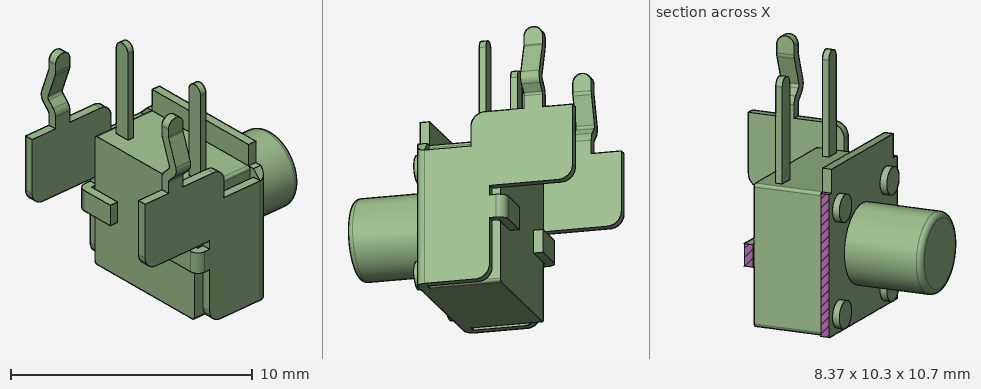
import cadquery as cq
import math


sheet = 0.41
bracket_half_width = 3.7
flange_inner_x = bracket_half_width - sheet
corner_radius = 0.6

housing_size = 6.17
housing_front_y = -3.5
housing_edge_radius = 0.14

bracket_top_z = 7.2
tongue_half_width = 2.99

flange_shoulder_z = housing_size - sheet
flange_shoulder_y = -2.41
flange_lower_front_y = -3.21
wing_front_y = -6.8
wing_bottom_z = 3.99

tab_bottom_z = 2.6
tab_top_z = 3.58
tab_end_x = 1.68

lead_top_z = 10.7
leg_width = 0.8
leg_y = -5.1
leg_lower_bend_z = 7.81
leg_upper_bend_z = 9.91
leg_lower_angle = 45.0
leg_crest_x = 4.26
bend_hollow_radius = 0.16
bend_round_radius = 0.48

pin_x = 2.25
pin_width = 0.73
pin_thickness = 0.3
pin_y = -2.59
pin_root_depth = 0.41

button_radius = 1.74
button_length = 3.54
button_z = 3.24
button_edge_radius = 0.25
stud_radius = 0.6
stud_height = 0.31
stud_offset = 2.29


def box(x_range, y_range, z_range):
    """Box spanning the given (low, high) ranges."""
    spans = (x_range, y_range, z_range)
    size = [high - low for low, high in spans]
    return cq.Workplane("XY").box(*size, centered=False).translate(tuple(low for low, _ in spans))


def cylinder_along_y(x, z, radius, y_start, y_end):
    """Cylinder from y_start to y_end."""
    start_plane = cq.Plane(origin=(x, y_start, z), xDir=(1, 0, 0), normal=(0, 1, 0))
    return cq.Workplane(start_plane).circle(radius).extrude(y_end - y_start)


def make_housing():
    block = box((-housing_size / 2, housing_size / 2), (housing_front_y, -sheet), (0, housing_size))
    return block.edges("|Y").fillet(housing_edge_radius)


def make_button():
    button = cylinder_along_y(0, button_z, button_radius, -sheet, button_length)
    return button.faces(">Y").edges().fillet(button_edge_radius)


def make_pin(x):
    """Flat pin with a round tip, starting inside the housing."""
    tip_radius = pin_width / 2
    root_z = housing_size - pin_root_depth
    return (
        cq.Workplane("XZ", origin=(x, pin_y + pin_thickness / 2, 0))
        .moveTo(-tip_radius, root_z)
        .lineTo(tip_radius, root_z)
        .lineTo(tip_radius, lead_top_z - tip_radius)
        .threePointArc((0, lead_top_z), (-tip_radius, lead_top_z - tip_radius))
        .close()
        .extrude(pin_thickness)
    )


def make_web():
    """Back plate whose tongue stands above the housing."""
    plate = box((-flange_inner_x, flange_inner_x), (-sheet, 0), (0, housing_size))
    tongue = box((-tongue_half_width, tongue_half_width), (-sheet, 0), (0, bracket_top_z))
    return plate.union(tongue)


def make_bend(y, outward, z_low, z_high):
    """Quarter-round fold about the flange's inner face; outward is the Y direction it bulges to."""
    diagonal = sheet * math.sqrt(0.5)
    return (
        cq.Workplane("XY", origin=(flange_inner_x, y, z_low))
        .lineTo(sheet, 0)
        .threePointArc((diagonal, outward * diagonal), (0, outward * sheet))
        .close()
        .extrude(z_high - z_low)
    )


def make_web_bend():
    """Fold between web and flange, its top bevelled down to the flange shoulder."""
    bend = make_bend(-sheet, 1, 0, housing_size)
    bevel = (
        cq.Workplane("XZ")
        .moveTo(flange_inner_x, housing_size)
        .lineTo(bracket_half_width, flange_shoulder_z)
        .lineTo(bracket_half_width, housing_size)
        .close()
        .extrude(sheet)
    )
    return bend.cut(bevel)


def make_flange():
    """Side plate with a wing that reaches forward and up."""
    outline = [
        (-sheet, 0),
        (flange_lower_front_y, 0),
        (flange_lower_front_y, wing_bottom_z),
        (wing_front_y, wing_bottom_z),
        (wing_front_y, bracket_top_z),
        (flange_shoulder_y, bracket_top_z),
        (flange_shoulder_y, flange_shoulder_z),
        (-sheet, flange_shoulder_z),
    ]
    rounded_corners = [
        (flange_lower_front_y, 0),
        (wing_front_y, wing_bottom_z),
        (flange_shoulder_y, bracket_top_z),
    ]
    flange = cq.Workplane("YZ", origin=(flange_inner_x, 0, 0)).polyline(outline).close().extrude(sheet)
    for y, z in rounded_corners:
        corner = cq.selectors.NearestToPointSelector((flange_inner_x + sheet / 2, y, z))
        flange = flange.edges("|X").edges(corner).fillet(corner_radius)
    return flange


def make_clamp_tab():
    """Tab that leaves the flange and folds over the front of the housing."""
    height = (tab_bottom_z, tab_top_z)
    root = box((flange_inner_x, bracket_half_width), (housing_front_y, flange_lower_front_y), height)
    finger = box((tab_end_x, flange_inner_x), (housing_front_y - sheet, housing_front_y), height)
    return root.union(make_bend(housing_front_y, -1, *height)).union(finger)


def make_snap_leg():
    """Strip kinked outwards, with rounded bends and a round tip."""
    kink = leg_crest_x - bracket_half_width
    lower_angle = math.radians(leg_lower_angle)
    crest_z = leg_lower_bend_z + kink * math.tan(lower_angle)
    upper_angle = math.atan2(kink, leg_upper_bend_z - crest_z)

    lower_inner_z = leg_lower_bend_z + sheet * math.tan((math.pi / 2 - lower_angle) / 2)
    upper_inner_z = leg_upper_bend_z - sheet * math.tan(upper_angle / 2)
    lower_slope = math.tan(lower_angle)
    upper_slope = 1 / math.tan(upper_angle)
    inner_kink = (upper_inner_z - lower_inner_z) / (lower_slope + upper_slope)
    inner_crest = (flange_inner_x + inner_kink, lower_inner_z + inner_kink * lower_slope)

    outline = [
        (flange_inner_x, bracket_top_z),
        (bracket_half_width, bracket_top_z),
        (bracket_half_width, leg_lower_bend_z),
        (leg_crest_x, crest_z),
        (bracket_half_width, leg_upper_bend_z),
        (bracket_half_width, lead_top_z),
        (flange_inner_x, lead_top_z),
        (flange_inner_x, upper_inner_z),
        inner_crest,
        (flange_inner_x, lower_inner_z),
    ]
    hollow_bends = [
        (bracket_half_width, leg_lower_bend_z),
        inner_crest,
        (bracket_half_width, leg_upper_bend_z),
    ]
    round_bends = [
        (flange_inner_x, lower_inner_z),
        (leg_crest_x, crest_z),
        (flange_inner_x, upper_inner_z),
    ]
    leg = (
        cq.Workplane("XZ", origin=(0, leg_y + leg_width / 2, 0))
        .polyline(outline)
        .close()
        .extrude(leg_width)
    )
    for corners, radius in ((hollow_bends, bend_hollow_radius), (round_bends, bend_round_radius)):
        for x, z in corners:
            bend = cq.selectors.NearestToPointSelector((x, leg_y, z))
            leg = leg.edges("|Y").edges(bend).fillet(radius)

    tip_radius = leg_width / 2
    tip_profile = (
        cq.Workplane("YZ")
        .moveTo(leg_y - tip_radius, bracket_top_z)
        .lineTo(leg_y + tip_radius, bracket_top_z)
        .lineTo(leg_y + tip_radius, lead_top_z - tip_radius)
        .threePointArc((leg_y, lead_top_z), (leg_y - tip_radius, lead_top_z - tip_radius))
        .close()
        .extrude(leg_crest_x)
    )
    return leg.intersect(tip_profile)


bracket_side = make_flange()
for piece in (make_web_bend(), make_clamp_tab(), make_snap_leg()):
    bracket_side = bracket_side.union(piece)

result = make_web().union(bracket_side).union(bracket_side.mirror("YZ"))
result = result.union(make_housing()).union(make_button())

for side in (-1, 1):
    result = result.union(make_pin(side * pin_x))
    for level in (-1, 1):
        stud_z = housing_size / 2 + level * stud_offset
        result = result.union(cylinder_along_y(side * stud_offset, stud_z, stud_radius, -sheet, stud_height))